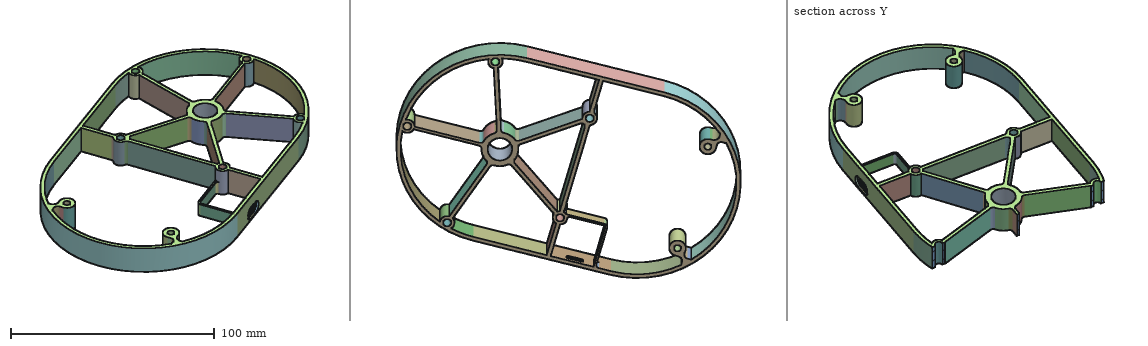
import cadquery as cq
import math

length = 172.0
width = 102.0
height = 14.5
wall = 2.0
rib_fillet = 1.7

end_radius = width / 2
end_center_y = length / 2 - end_radius
inner_x = end_radius - wall

edge_reach = 0.2

hub_diameter = 18.2
hub_bore = 12.0
spoke_count = 5
spoke_width = 2.0
top_spoke_width = 1.5
boss_circle_radius = 47.3
boss_diameter = 7.2
boss_hole = 4.0

crossbar_width = 2.0
lower_boss_x = boss_circle_radius * math.sin(math.pi / spoke_count)
crossbar_y = end_center_y - boss_circle_radius * math.cos(math.pi / spoke_count)

post_offset = 28.4
post_diameter = 8.3
post_hole = 3.5
neck_side_fillet = 3.0
neck_end_fillet = 2.0

bay_left_x = 25.1
bay_bottom_y = -27.2
bay_wall = 1.0
bay_height = 7.0
bay_inner_fillet = 1.0
bay_outer_fillet = bay_inner_fillet + bay_wall
bay_wall_fillet = 1.7

slot_length = 8.6
slot_height = 3.1
slot_center_y = -16.7
slot_center_z = 4.1
recess_margin = 1.7
recess_web = 0.9


def block(x_min, x_max, y_min, y_max, block_height=height):
    """Box from two corners, standing on the base plane."""
    return (
        cq.Workplane("XY")
        .box(x_max - x_min, y_max - y_min, block_height, centered=False)
        .translate((x_min, y_min, 0))
    )


def cylinder(x, y, diameter):
    """Full-height upright cylinder."""
    return cq.Workplane("XY").center(x, y).circle(diameter / 2).extrude(height)


def racetrack(inset):
    """Full-height stadium, moved inwards from the outer side by the inset."""
    return (
        cq.Workplane("XY")
        .slot2D(length - 2 * inset, width - 2 * inset, 90)
        .extrude(height)
    )


def boss_angle(index):
    """Direction of a boss from the hub in degrees, starting at the +Y one."""
    return 90 + index * 360 / spoke_count


def boss_center(index):
    angle = math.radians(boss_angle(index))
    x = boss_circle_radius * math.cos(angle)
    y = end_center_y + boss_circle_radius * math.sin(angle)
    return x, y


def spoke(index):
    """Radial rib from the hub centre to a boss centre."""
    thickness = top_spoke_width if index == 0 else spoke_width
    bar = block(0, boss_circle_radius, -thickness / 2, thickness / 2)
    return bar.rotate((0, 0, 0), (0, 0, 1), boss_angle(index)).translate((0, end_center_y, 0))


def corner_fill(x, y, x_side, y_side, radius, fill_height=height):
    """Concave fillet piece in the corner at (x, y), opening towards the given sides."""
    return (
        cq.Workplane("XY")
        .moveTo(x, y)
        .lineTo(x + x_side * radius, y)
        .radiusArc((x, y + y_side * radius), x_side * y_side * radius)
        .close()
        .extrude(fill_height)
    )


def right_post():
    """Post tied to the outer wall by a narrow neck at the corner of its bounding square."""
    x = post_offset
    y = -end_center_y - post_offset
    corner_x = x + post_diameter / 2
    corner_y = y - post_diameter / 2
    foot = block(corner_x, end_radius, -length / 2, corner_y).intersect(racetrack(0))
    return (
        cylinder(x, y, post_diameter)
        .union(block(x, corner_x, corner_y, y))
        .union(corner_fill(corner_x, corner_y, 1, 1, neck_side_fillet))
        .union(corner_fill(corner_x, corner_y, -1, -1, neck_end_fillet))
        .union(foot)
    )


def bay():
    """L-shaped low wall with a fillet against the +X outer wall."""
    wall_middle_x = end_radius - wall / 2
    outer = block(bay_left_x, wall_middle_x, bay_bottom_y, crossbar_y, bay_height)
    outer = outer.edges("|Z and <X and <Y").fillet(bay_outer_fillet)
    inner = block(
        bay_left_x + bay_wall, end_radius, bay_bottom_y + bay_wall, crossbar_y, bay_height
    )
    inner = inner.edges("|Z and <X and <Y").fillet(bay_inner_fillet)
    wall_fillet = corner_fill(inner_x, bay_bottom_y, -1, -1, bay_wall_fillet, bay_height)
    return outer.cut(inner).union(wall_fillet)


def slot_prism(margin, x_start):
    """Round-ended prism along X, larger than the slot by the margin all around."""
    return (
        cq.Workplane("YZ", origin=(x_start, slot_center_y, slot_center_z))
        .slot2D(slot_length + 2 * margin, slot_height + 2 * margin)
        .extrude(2 * wall)
    )


def fillet_upright(body, x, y, reach, radius, z_max=height):
    """Fillet the upright edges within the square reach around (x, y)."""
    area = cq.selectors.BoxSelector((x - reach, y - reach, 0), (x + reach, y + reach, z_max))
    return body.edges("|Z").edges(area).fillet(radius)


frame = racetrack(0).cut(racetrack(wall))
frame = frame.union(cylinder(0, end_center_y, hub_diameter))
for i in range(spoke_count):
    frame = frame.union(spoke(i))
frame = fillet_upright(frame, 0, end_center_y, hub_diameter, rib_fillet)

half_bar = crossbar_width / 2
frame = frame.union(block(-inner_x, inner_x, crossbar_y - half_bar, crossbar_y + half_bar))
spoke_slope = math.pi / 2 - math.pi / spoke_count
acute_corner_x = (half_bar + spoke_width / 2 / math.cos(spoke_slope)) / math.tan(spoke_slope)
frame = fillet_upright(
    frame, acute_corner_x - lower_boss_x, crossbar_y + half_bar, edge_reach, rib_fillet
)

for i in range(spoke_count):
    frame = frame.union(cylinder(*boss_center(i), boss_diameter))
boss_radius = boss_diameter / 2
boss_bar_x = math.sqrt(boss_radius**2 - half_bar**2)
for side in (-1, 1):
    frame = fillet_upright(
        frame, side * boss_bar_x - lower_boss_x, crossbar_y - half_bar, edge_reach, rib_fillet
    )

post = right_post()
frame = frame.union(post).union(post.mirror("YZ"))

frame = frame.union(bay())
bay_face_x = bay_left_x + bay_wall
bay_boss_y = crossbar_y - math.sqrt(boss_radius**2 - (lower_boss_x - bay_face_x) ** 2)
frame = fillet_upright(frame, bay_face_x, bay_boss_y, edge_reach, bay_inner_fillet, bay_height)

frame = frame.cut(cylinder(0, end_center_y, hub_bore))
for i in range(spoke_count):
    frame = frame.cut(cylinder(*boss_center(i), boss_hole))
for side in (-1, 1):
    frame = frame.cut(cylinder(side * post_offset, -end_center_y - post_offset, post_hole))

frame = frame.cut(slot_prism(0, inner_x - wall / 2))
frame = frame.cut(slot_prism(recess_margin, inner_x + recess_web))

result = frame